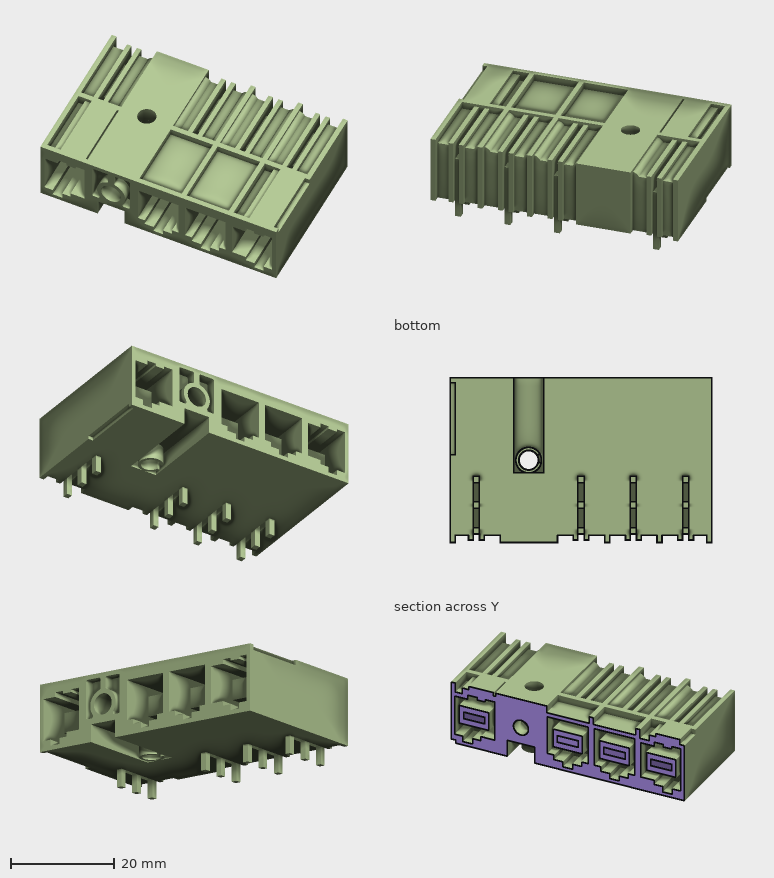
import cadquery as cq
import math

LENGTH = 50.8
DEPTH = 32.0
HEIGHT = 13.55
WALL = 1.0
STATION_PITCH = 10.15
STATIONS = [LENGTH / 2 + n * STATION_PITCH for n in (-2, 0, 1, 2)]
BOSS_X = LENGTH / 2 - STATION_PITCH
BOSS_Z = 7.2

CHAMBER_DEPTH = 15.0
CHAMBER_TOP = 11.05
CHAMBER_FLOOR = 3.0
MIDDLE_KEY_FLOOR = 2.0
END_KEY_FLOOR = 2.1
GROOVE_FLOOR = 0.85
CHAMBER_HALF = 4.35
KEY_HALF = 2.95
GROOVE_HALF = 1.0
SHOULDER_TOP = 10.5
CROWN_TOP = 11.45
CROWN_RIB_BOTTOM = 10.85
END_WALL = 0.85
END_CHAMBER_WIDTH = 8.65
LEFT_GROOVE = (2.65, 4.7)
LEFT_KEY_EDGE = 6.5
LEFT_CROWN_EDGE = 3.7
LEFT_CROWN_RIB = (5.65, 7.55)
RIGHT_KEY_EDGE = 44.25
RIGHT_GROOVE = (46.1, 48.1)
TONGUE_FRONT = 5.55
TONGUE_WIDTH = 6.5
TONGUE_BOTTOM = 4.7
TONGUE_HEIGHT = 4.05

BLOCK_LEFT = 9.7
BLOCK_RIGHT = 20.9
PARTITION = 1.0
PARTITIONS = [STATIONS[1] + STATION_PITCH / 2, STATIONS[2] + STATION_PITCH / 2]
BAY_SPANS = [
    (WALL, BLOCK_LEFT),
    (BLOCK_RIGHT, PARTITIONS[0] - PARTITION / 2),
    (PARTITIONS[0] + PARTITION / 2, PARTITIONS[1] - PARTITION / 2),
    (PARTITIONS[1] + PARTITION / 2, LENGTH - WALL),
]

RECESS_DROP = 1.45
BAY_FRONT = 16.05
BAY_BACK = DEPTH - 1.4
RIB_BACK = DEPTH - 0.5
RIB_THICKNESS = 0.95
RIB_TOP = HEIGHT - 0.5
ROUND_RADIUS = 2.0
ROUND_DROP = 0.5
ROUND_CENTRE_INSET = PARTITION / 2

POCKET_FRONT = WALL
POCKET_BACK = CHAMBER_DEPTH
DEEP_STRIP_DROP = 2.0
LEDGE_DROP = 0.7
LEDGE_WIDTH = 1.4
LEFT_STRIP_WIDTH = 1.4
RIGHT_STRIP_WIDTH = 1.95
SLIT_WIDTH = 0.4
EDGE_RECESS_DROP = 1.1

BOSS_RADIUS = 3.05
BOSS_MOUTH_RADIUS = 2.15
BOSS_MOUTH_DEPTH = 10.15
BOSS_BORE_RADIUS = 1.6
RELIEF_HALF = 4.05
RELIEF_BOTTOM = 4.7
RELIEF_TOP = 12.65
RELIEF_DEPTH = 2.25
RELIEF_FILLET = 0.35
STRUT_HALF = 0.6
FOOT_HALF = 2.45
NOTCH_WIDTH = 5.8
NOTCH_HEIGHT = 3.55

HOLE_Y = DEPTH / 2
HOLE_RADIUS = 1.9
SLEEVE_RADIUS = 2.5
SLEEVE_HEIGHT = 10.15
SLEEVE_GAP_START = -30.0
SLEEVE_GAP_END = 12.0

TERMINAL_THICKNESS = 1.15
BLADE_WIDTH = 4.45
BLADE_BOTTOM = 6.1
BLADE_HEIGHT = 1.3
PLATE_FRONT = 19.1
PLATE_BACK = 30.4
PLATE_TOP = 10.65
PLATE_SHOULDER = 9.15
SHOULDER_LENGTH = 1.95
PIN_LENGTH = 3.55
PIN_DEPTH = 1.25
PIN_COUNT = 3
PIN_PITCH = (PLATE_BACK - PLATE_FRONT - PIN_DEPTH) / (PIN_COUNT - 1)


def box(x, y, z):
    """Box between the low and high limits given for each axis."""
    size = (x[1] - x[0], y[1] - y[0], z[1] - z[0])
    return cq.Workplane("XY").box(*size, centered=False).translate((x[0], y[0], z[0]))


def along_y(front, length, x, z, radius):
    """Cylinder lying along Y."""
    return cq.Workplane("XZ", origin=(x, front, z)).circle(radius).extrude(-length)


def upright(radius, height):
    """Cylinder standing on the base plane at the screw hole."""
    return cq.Workplane("XY", origin=(BOSS_X, HOLE_Y, 0)).circle(radius).extrude(height)


def middle_outline(station):
    """Chamber section with a plain roof and a stepped keyway in its floor."""
    left_half = [
        (-GROOVE_HALF, GROOVE_FLOOR),
        (-GROOVE_HALF, MIDDLE_KEY_FLOOR),
        (-KEY_HALF, MIDDLE_KEY_FLOOR),
        (-KEY_HALF, CHAMBER_FLOOR),
        (-CHAMBER_HALF, CHAMBER_FLOOR),
        (-CHAMBER_HALF, CHAMBER_TOP),
    ]
    right_half = [(-x, z) for x, z in reversed(left_half)]
    return [(station + x, z) for x, z in left_half + right_half]


def left_outline():
    """Left end chamber section: keyway on the outer side, ribbed crown on the inner side of its roof."""
    inner = END_WALL + END_CHAMBER_WIDTH
    groove_left, groove_right = LEFT_GROOVE
    rib_left, rib_right = LEFT_CROWN_RIB
    return [
        (END_WALL, END_KEY_FLOOR),
        (groove_left, END_KEY_FLOOR),
        (groove_left, GROOVE_FLOOR),
        (groove_right, GROOVE_FLOOR),
        (groove_right, END_KEY_FLOOR),
        (LEFT_KEY_EDGE, END_KEY_FLOOR),
        (LEFT_KEY_EDGE, CHAMBER_FLOOR),
        (inner, CHAMBER_FLOOR),
        (inner, CROWN_TOP),
        (rib_right, CROWN_TOP),
        (rib_right, CROWN_RIB_BOTTOM),
        (rib_left, CROWN_RIB_BOTTOM),
        (rib_left, CROWN_TOP),
        (LEFT_CROWN_EDGE, CROWN_TOP),
        (LEFT_CROWN_EDGE, SHOULDER_TOP),
        (END_WALL, SHOULDER_TOP),
    ]


def right_outline():
    """Right end chamber section: keyway and ribbed crown both on the outer side."""
    outer = LENGTH - END_WALL
    inner = outer - END_CHAMBER_WIDTH
    groove_left, groove_right = RIGHT_GROOVE
    return [
        (inner, CHAMBER_FLOOR),
        (RIGHT_KEY_EDGE, CHAMBER_FLOOR),
        (RIGHT_KEY_EDGE, END_KEY_FLOOR),
        (groove_left, END_KEY_FLOOR),
        (groove_left, GROOVE_FLOOR),
        (groove_right, GROOVE_FLOOR),
        (groove_right, END_KEY_FLOOR),
        (outer, END_KEY_FLOOR),
        (outer, CROWN_TOP),
        (groove_right, CROWN_TOP),
        (groove_right, CROWN_RIB_BOTTOM),
        (groove_left, CROWN_RIB_BOTTOM),
        (groove_left, CROWN_TOP),
        (RIGHT_KEY_EDGE, CROWN_TOP),
        (RIGHT_KEY_EDGE, SHOULDER_TOP),
        (inner, SHOULDER_TOP),
    ]


def chamber(outline, station):
    """Front chamber, leaving the tongue standing from its back wall."""
    cavity = cq.Workplane("XZ").polyline(outline).close().extrude(-CHAMBER_DEPTH)
    tongue = box(
        (station - TONGUE_WIDTH / 2, station + TONGUE_WIDTH / 2),
        (TONGUE_FRONT, CHAMBER_DEPTH),
        (TONGUE_BOTTOM, TONGUE_BOTTOM + TONGUE_HEIGHT),
    )
    return cavity.cut(tongue)


def bay(span, station, left_round, right_round):
    """Material removed for a rear bay, leaving its two ribs and its rounded sides."""
    low, high = span
    open_top = box(span, (BAY_FRONT, DEPTH), (HEIGHT - RECESS_DROP, HEIGHT))
    if left_round:
        open_top = open_top.cut(bay_round(low - ROUND_CENTRE_INSET))
    if right_round:
        open_top = open_top.cut(bay_round(high + ROUND_CENTRE_INSET))
    open_back = box(span, (BAY_BACK, DEPTH), (0, HEIGHT))
    slot_half = TERMINAL_THICKNESS / 2
    rib_half = slot_half + RIB_THICKNESS
    ribs = box((station - rib_half, station + rib_half), (BAY_FRONT, RIB_BACK), (0, RIB_TOP))
    slot_span = (station - slot_half, station + slot_half)
    slot = box(slot_span, (BAY_FRONT, DEPTH), (0, HEIGHT))
    slot_floor = box(slot_span, (BAY_FRONT, PLATE_FRONT), (0, BLADE_BOTTOM))
    return open_top.union(open_back).cut(ribs).union(slot.cut(slot_floor))


def bay_round(x):
    """Rounded moulding along the foot of a bay side."""
    centre_z = HEIGHT - ROUND_DROP - ROUND_RADIUS
    return along_y(BAY_FRONT, BAY_BACK - BAY_FRONT, x, centre_z, ROUND_RADIUS)


def top_recess(low, high, drop):
    """Recess in the top face between two X limits."""
    return box((low, high), (POCKET_FRONT, POCKET_BACK), (HEIGHT - drop, HEIGHT))


def top_recesses():
    """Sink-relief recesses above the front chambers."""
    left, middle, next_middle, right = BAY_SPANS
    left_ledge = left[0] + LEFT_STRIP_WIDTH
    right_ledge = right[0] + RIGHT_STRIP_WIDTH
    return [
        top_recess(left[0], left_ledge, DEEP_STRIP_DROP),
        top_recess(left_ledge, left_ledge + LEDGE_WIDTH, LEDGE_DROP),
        top_recess(left[1] - SLIT_WIDTH, left[1], LEDGE_DROP),
        top_recess(*middle, RECESS_DROP),
        top_recess(*next_middle, RECESS_DROP),
        top_recess(right[0], right_ledge, DEEP_STRIP_DROP),
        top_recess(right_ledge, right_ledge + LEDGE_WIDTH, LEDGE_DROP),
        top_recess(right[1], LENGTH, EDGE_RECESS_DROP),
    ]


def lower_edge_recess():
    """Shallow recess along the lower left edge."""
    return box((0, WALL), (POCKET_FRONT, POCKET_BACK), (0, LEDGE_DROP))


def boss_relief():
    """Two rounded pockets that leave the boss ring, its strut and its foot."""
    block = box(
        (BOSS_X - RELIEF_HALF, BOSS_X + RELIEF_HALF), (0, RELIEF_DEPTH), (RELIEF_BOTTOM, RELIEF_TOP)
    )
    ring = along_y(0, RELIEF_DEPTH, BOSS_X, BOSS_Z, BOSS_RADIUS)
    strut = box(
        (BOSS_X - STRUT_HALF, BOSS_X + STRUT_HALF), (0, RELIEF_DEPTH), (BOSS_Z, RELIEF_TOP)
    )
    foot_top = BOSS_Z - math.sqrt(BOSS_RADIUS**2 - FOOT_HALF**2)
    foot = box(
        (BOSS_X - FOOT_HALF, BOSS_X + FOOT_HALF), (0, RELIEF_DEPTH), (RELIEF_BOTTOM, foot_top)
    )
    return block.cut(ring).cut(strut).cut(foot).edges("|Y").fillet(RELIEF_FILLET)


def boss_openings():
    """Stepped screw bore, bottom notch and the stepped vertical hole for the sleeve."""
    mouth = along_y(0, BOSS_MOUTH_DEPTH, BOSS_X, BOSS_Z, BOSS_MOUTH_RADIUS)
    bore = along_y(0, HOLE_Y, BOSS_X, BOSS_Z, BOSS_BORE_RADIUS)
    notch = box(
        (BOSS_X - NOTCH_WIDTH / 2, BOSS_X + NOTCH_WIDTH / 2),
        (0, HOLE_Y + SLEEVE_RADIUS),
        (0, NOTCH_HEIGHT),
    )
    return [mouth, bore, notch, upright(SLEEVE_RADIUS, SLEEVE_HEIGHT), upright(HOLE_RADIUS, HEIGHT)]


def make_sleeve():
    """Split tube: a ring with a wedge-shaped gap on its +X side."""
    tube = upright(SLEEVE_RADIUS, SLEEVE_HEIGHT).cut(upright(HOLE_RADIUS, SLEEVE_HEIGHT))
    reach = 2 * SLEEVE_RADIUS
    start = math.radians(SLEEVE_GAP_START)
    end = math.radians(SLEEVE_GAP_END)
    gap = (
        cq.Workplane("XY", origin=(BOSS_X, HOLE_Y, 0))
        .lineTo(reach * math.cos(start), reach * math.sin(start))
        .lineTo(reach * math.cos(end), reach * math.sin(end))
        .close()
        .extrude(SLEEVE_HEIGHT)
    )
    return tube.cut(gap)


def make_terminal(station):
    """Flat blade through the tongue, an upright plate in the bay slot and three solder pins."""
    thickness = (station - TERMINAL_THICKNESS / 2, station + TERMINAL_THICKNESS / 2)
    terminal = box(
        (station - BLADE_WIDTH / 2, station + BLADE_WIDTH / 2),
        (TONGUE_FRONT, PLATE_FRONT),
        (BLADE_BOTTOM, BLADE_BOTTOM + BLADE_HEIGHT),
    )
    shoulder_front = PLATE_BACK - SHOULDER_LENGTH
    terminal = terminal.union(
        box(thickness, (PLATE_FRONT, shoulder_front), (BLADE_BOTTOM, PLATE_TOP))
    )
    terminal = terminal.union(
        box(thickness, (shoulder_front, PLATE_BACK), (BLADE_BOTTOM, PLATE_SHOULDER))
    )
    for n in range(PIN_COUNT):
        front = PLATE_FRONT + n * PIN_PITCH
        pin = box(thickness, (front, front + PIN_DEPTH), (-PIN_LENGTH, BLADE_BOTTOM))
        terminal = terminal.union(pin)
    return terminal


def make_housing(inserts):
    """Housing block with all its openings and a fitting hole for each insert."""
    body = box((0, LENGTH), (0, DEPTH), (0, HEIGHT))
    outlines = [
        left_outline(),
        middle_outline(STATIONS[1]),
        middle_outline(STATIONS[2]),
        right_outline(),
    ]
    rounds = [(False, True), (True, True), (True, True), (True, False)]
    removed = top_recesses() + boss_openings() + [boss_relief()]
    removed.append(lower_edge_recess())
    for station, outline, span, sides in zip(STATIONS, outlines, BAY_SPANS, rounds):
        removed.append(chamber(outline, station))
        removed.append(bay(span, station, *sides))
    for cutter in removed + inserts:
        body = body.cut(cutter)
    return body


sleeve = make_sleeve()
terminals = [make_terminal(station) for station in STATIONS]
housing = make_housing(terminals)

result = cq.Compound.makeCompound([housing.val(), sleeve.val(), *[t.val() for t in terminals]])